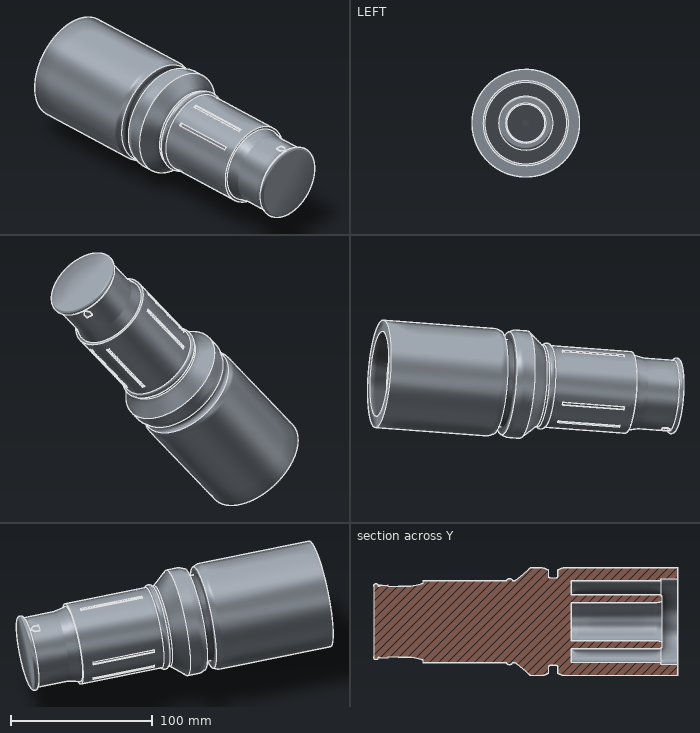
import cadquery as cq
import math

total_length = 214.9
body_diameter = 76.3
body_radius = body_diameter / 2

groove_start = 84.9
groove_end = 91.3
groove_radius = 31.0
groove_fillet = 1.3
rim_bevel_length = 2.5
rim_bevel_angle = 23.0
sleeve_blend_length = 2.1
collar_blend_length = 2.5
collar_end = 104.2

barrel_start = 115.0
barrel_end = 180.0
barrel_radius = 29.0
ring_start = 116.7
ring_end = 121.2
ring_height = 1.5

taper_radius = 27.0
taper_end = 189.0
tip_radius = 25.1
end_bead_width = 3.5
end_bead_radius = 26.9

socket_depth = 75.2
socket_radius = 28.8
socket_mouth_radius = 30.0
socket_mouth_depth = 12.0
pin_face = 11.2
pin_radius = 19.1
pin_rounding = 2.0
pin_bore_radius = 13.3
pin_mouth_radius = 14.2
pin_mouth_depth = 3.9

slot_start = 127.9
slot_end = 172.5
slot_width = 2.1
slot_depth = 1.0
slot_pair_count = 3
first_pair_angle = 30.0
slot_half_spread = 17.0

arrow_start = 204.5
arrow_shoulder = 208.2
arrow_point = 211.0
arrow_width = 5.0
arrow_height = 0.6


def make_body():
    """Solid of revolution of the outer profile, drawn as (X, radius)."""
    bevel_angle = math.radians(rim_bevel_angle)
    bevel_height = rim_bevel_length * math.tan(bevel_angle)
    sleeve_bevel_start = groove_start - rim_bevel_length
    sleeve_blend_start = sleeve_bevel_start - sleeve_blend_length
    sleeve_bevel_radius = body_radius - sleeve_blend_length * math.tan(bevel_angle / 2)
    collar_bevel_end = groove_end + rim_bevel_length
    collar_blend_end = collar_bevel_end + collar_blend_length
    collar_bevel_radius = body_radius - collar_blend_length * math.tan(bevel_angle / 2)

    bead_start = total_length - end_bead_width
    profile = (
        cq.Workplane("XY")
        .lineTo(0, body_radius)
        .lineTo(sleeve_blend_start, body_radius)
        .tangentArcPoint((sleeve_bevel_start, sleeve_bevel_radius), relative=False)
        .lineTo(groove_start, sleeve_bevel_radius - bevel_height)
        .lineTo(groove_start, groove_radius + groove_fillet)
        .radiusArc((groove_start + groove_fillet, groove_radius), -groove_fillet)
        .lineTo(groove_end - groove_fillet, groove_radius)
        .radiusArc((groove_end, groove_radius + groove_fillet), -groove_fillet)
        .lineTo(groove_end, collar_bevel_radius - bevel_height)
        .lineTo(collar_bevel_end, collar_bevel_radius)
        .tangentArcPoint((collar_blend_end, body_radius), relative=False)
        .lineTo(collar_end, body_radius)
        .lineTo(barrel_start, barrel_radius)
        .lineTo(ring_start, barrel_radius)
        .threePointArc(
            ((ring_start + ring_end) / 2, barrel_radius + ring_height),
            (ring_end, barrel_radius),
        )
        .lineTo(barrel_end, barrel_radius)
        .lineTo(barrel_end, taper_radius)
        .lineTo(taper_end, tip_radius)
        .lineTo(bead_start, tip_radius)
        .threePointArc(
            (total_length - end_bead_width / 2, end_bead_radius),
            (total_length, tip_radius),
        )
        .lineTo(total_length, 0)
        .close()
    )
    return profile.revolve(360, (0, 0, 0), (1, 0, 0))


def make_socket_cut():
    """Ring-shaped socket around the pin, with the bore inside the pin."""
    profile = (
        cq.Workplane("XY")
        .lineTo(0, socket_mouth_radius)
        .lineTo(socket_mouth_depth, socket_mouth_radius)
        .lineTo(socket_mouth_depth, socket_radius)
        .lineTo(socket_depth, socket_radius)
        .lineTo(socket_depth, pin_radius)
        .lineTo(pin_face + pin_rounding, pin_radius)
        .radiusArc((pin_face, pin_radius - pin_rounding), -pin_rounding)
        .lineTo(pin_face, pin_mouth_radius)
        .lineTo(pin_face + pin_mouth_depth, pin_bore_radius)
        .lineTo(socket_depth, pin_bore_radius)
        .lineTo(socket_depth, 0)
        .close()
    )
    return profile.revolve(360, (0, 0, 0), (1, 0, 0))


def make_slots():
    """Boxes that cut the grip slots; angles turn from +Z toward -Y."""
    slots = cq.Workplane("XY")
    cutter = (
        cq.Workplane("XY")
        .box(slot_end - slot_start, slot_width, 2 * slot_depth)
        .translate(((slot_start + slot_end) / 2, 0, barrel_radius))
    )
    for pair in range(slot_pair_count):
        pair_angle = first_pair_angle + pair * 360 / slot_pair_count
        for side in (-1, 1):
            angle = pair_angle + side * slot_half_spread
            slots = slots.add(cutter.rotate((0, 0, 0), (1, 0, 0), angle))
    return slots.combine()


def make_arrows():
    """Arrow prism through the tip, trimmed to a cylinder just proud of it."""
    half_width = arrow_width / 2
    prism = (
        cq.Workplane("XY")
        .moveTo(arrow_start, -half_width)
        .lineTo(arrow_shoulder, -half_width)
        .lineTo(arrow_point, 0)
        .lineTo(arrow_shoulder, half_width)
        .lineTo(arrow_start, half_width)
        .close()
        .extrude(body_radius, both=True)
    )
    envelope = cq.Workplane("YZ").circle(tip_radius + arrow_height).extrude(total_length)
    return prism.intersect(envelope)


result = make_body().union(make_arrows()).cut(make_socket_cut()).cut(make_slots())